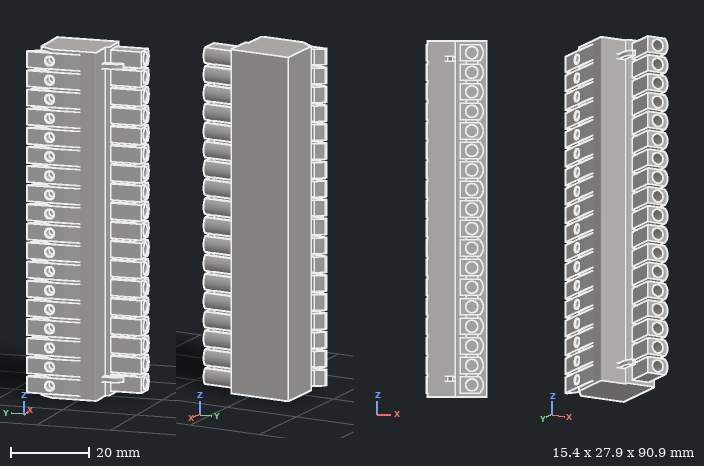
import cadquery as cq

length = 90.9
left_side = 0.3
right_side = 15.45
rear_side = 25.1
front_side = 9.3
step_left = 7.4
step_front = 8.4
edge_round = 0.45
lever_seat_x = 3.0
lever_seat_y = 21.2
seat_round = 0.7

position_count = 18
first_position = 3.1
last_position = 87.9
pitch = (last_position - first_position) / (position_count - 1)
levels = [first_position + index * pitch for index in range(position_count)]
block_height = 4.2

lever_tip_y = 27.9
lever_tip_width = 0.6
lever_right = 2.4
lever_shoulder_y = 25.5
lever_taper_start = 17.9
lever_end = 13.7
lever_hole_y = 21.8
lever_hole_diameter = 2.2
lever_hole_depth = 2.7
lever_hole_chamfer = 0.2

plug_left = 8.7
plug_right = 14.5
plug_hole_x = 11.6
plug_hole_diameter = 3.1
plug_hole_depth = 5.45

web_left = 10.2
web_right = 13.2
web_front = 2.45

latch_left = 5.45
latch_right = 7.1
latch_root_radius = 0.5
latch_bend_y = 6.8
latch_nose_x = 5.7
latch_nose_y = 5.5
latch_tip_left = 6.7
latch_tip_y = 4.3
latch_bend_radius = 0.9
latch_nose_radius = 0.5
barb_right = 7.4
barb_top_y = 5.4
latch_height = 1.3
latch_inset = 1.5
latch_levels = (first_position + latch_inset, last_position - latch_inset)


def round_upright_edge(solid, point, radius):
    """Fillet the edge along Z whose middle is nearest to the point."""
    return solid.edges("|Z").edges(cq.NearestToPointSelector(point)).fillet(radius)


def make_housing():
    """Stepped outline with rounded front corners and a slanted seat behind the levers."""
    outline = [
        (left_side, lever_seat_y),
        (lever_seat_x, rear_side),
        (right_side, rear_side),
        (right_side, step_front),
        (step_left, step_front),
        (step_left, front_side),
        (left_side, front_side),
    ]
    housing = cq.Workplane("XY").polyline(outline).close().extrude(length)
    housing = round_upright_edge(housing, (left_side, lever_seat_y, length / 2), seat_round)
    for corner in ((left_side, front_side), (step_left, step_front), (right_side, step_front)):
        housing = round_upright_edge(housing, (*corner, length / 2), edge_round)
    return housing


def make_lever(level):
    """Lever plate with a slanted tip and a thin tail that tapers into the housing side."""
    outline = [
        (0, lever_tip_y),
        (lever_tip_width, lever_tip_y),
        (lever_right, lever_shoulder_y),
        (lever_right, lever_end),
        (left_side, lever_end),
        (0, lever_taper_start),
    ]
    base = cq.Workplane("XY").workplane(offset=level - block_height / 2)
    return base.polyline(outline).close().extrude(block_height)


def make_plug(level):
    """Plug block whose right side is rounded about the contact hole."""
    half = block_height / 2
    radius = plug_right - plug_hole_x
    corner_x = plug_hole_x + (radius**2 - half**2) ** 0.5
    return (
        cq.Workplane("XZ")
        .moveTo(plug_left, level - half)
        .lineTo(corner_x, level - half)
        .threePointArc((plug_right, level), (corner_x, level + half))
        .lineTo(plug_left, level + half)
        .close()
        .extrude(-front_side)
    )


def make_web():
    """Thin bar that runs behind the plug tips and closes the gaps between plugs."""
    return (
        cq.Workplane("XY")
        .workplane(offset=first_position)
        .moveTo(web_left, web_front)
        .lineTo(web_right, web_front)
        .lineTo(web_right, front_side)
        .lineTo(web_left, front_side)
        .close()
        .extrude(last_position - first_position)
    )


def make_latch(level):
    """Hook with a rounded root, a curved outer side and a barb at the tip."""
    root_x = latch_left - latch_root_radius
    root_y = front_side - latch_root_radius
    arc_offset = latch_root_radius * 0.5**0.5
    latch = (
        cq.Workplane("XY")
        .workplane(offset=level - latch_height / 2)
        .moveTo(root_x, front_side)
        .threePointArc((root_x + arc_offset, root_y + arc_offset), (latch_left, root_y))
        .lineTo(latch_left, latch_bend_y)
        .lineTo(latch_nose_x, latch_nose_y)
        .lineTo(latch_tip_left, latch_tip_y)
        .lineTo(barb_right, latch_tip_y)
        .lineTo(barb_right, barb_top_y)
        .lineTo(latch_right, barb_top_y)
        .lineTo(latch_right, front_side)
        .close()
        .extrude(latch_height)
    )
    latch = round_upright_edge(latch, (latch_left, latch_bend_y, level), latch_bend_radius)
    return round_upright_edge(latch, (latch_nose_x, latch_nose_y, level), latch_nose_radius)


def make_lever_holes():
    """Cutters entering from the -X side, widened at the mouth."""
    centers = [(lever_hole_y, level) for level in levels]
    bores = cq.Workplane("YZ").pushPoints(centers).circle(lever_hole_diameter / 2).extrude(lever_hole_depth)
    mouth_radius = lever_hole_diameter / 2 + lever_hole_chamfer
    mouths = cq.Workplane("YZ").pushPoints(centers).circle(mouth_radius).extrude(lever_hole_chamfer, taper=45)
    return bores.union(mouths)


def make_plug_holes():
    """Cutters entering from the -Y side."""
    centers = [(plug_hole_x, level) for level in levels]
    return cq.Workplane("XZ").pushPoints(centers).circle(plug_hole_diameter / 2).extrude(-plug_hole_depth)


result = make_housing().union(make_web())
for level in levels:
    result = result.union(make_lever(level)).union(make_plug(level))
for level in latch_levels:
    result = result.union(make_latch(level))
result = result.cut(make_lever_holes()).cut(make_plug_holes())